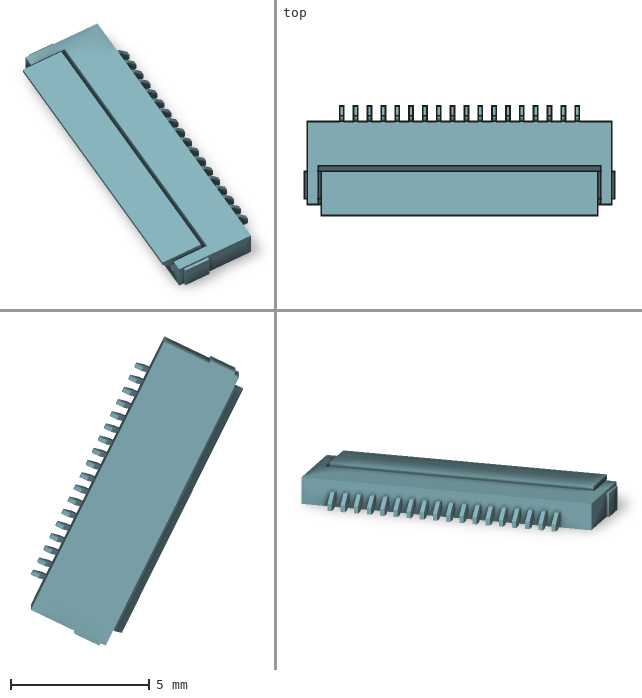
import cadquery as cq


OVERALL_LENGTH = 11.2
HOUSING_LENGTH = 11.0
HOUSING_DEPTH = 3.0
HOUSING_HEIGHT = 1.0

RECESS_LENGTH = 10.2
RECESS_DEPTH = 1.4
FLOOR_HEIGHT = 0.4

CONTACT_COUNT = 18
CONTACT_ROW_SPAN = 8.5
CONTACT_PITCH = CONTACT_ROW_SPAN / (CONTACT_COUNT - 1)
CONTACT_WIDTH = 0.16
CONTACT_REACH = 0.56
CONTACT_TOP = 0.6
CONTACT_SLOPE = 0.35
CONTACT_FOOT = 0.28
CONTACT_UNDERSIDE = CONTACT_REACH - CONTACT_FOOT

FLAP_LENGTH = 10.0
FLAP_OVERHANG = 0.4
FLAP_REAR = 1.2
FLAP_THICKNESS = 0.4
FLAP_RISE = 0.1
FLAP_CHAMFER = 0.26
FLAP_TOP = HOUSING_HEIGHT + FLAP_RISE

TAB_FRONT = 0.2
TAB_WIDTH = FLAP_REAR - TAB_FRONT
TAB_HEIGHT = 0.9
TAB_PLATE = (OVERALL_LENGTH - HOUSING_LENGTH) / 2
TAB_FOOT = (HOUSING_LENGTH - FLAP_LENGTH) / 2


def box(x_size, y_size, z_size, x_start, y_start, z_start):
    """Block given by its size and its lowest corner."""
    block = cq.Workplane("XY").box(x_size, y_size, z_size, centered=False)
    return block.translate((x_start, y_start, z_start))


def extrude_along_x(points, length, x_centre):
    """Prism of a (Y, Z) outline, centred on x_centre."""
    prism = cq.Workplane("YZ").polyline(points).close().extrude(length)
    return prism.translate((x_centre - length / 2, 0, 0))


def make_contact(x_centre):
    """Bent contact tail that drops from the rear of the housing to the board."""
    tip = HOUSING_DEPTH + CONTACT_REACH
    outline = [
        (HOUSING_DEPTH, CONTACT_TOP),
        (tip - CONTACT_SLOPE, CONTACT_TOP),
        (tip, CONTACT_TOP - CONTACT_SLOPE),
        (tip, 0),
        (tip - CONTACT_FOOT, 0),
        (HOUSING_DEPTH, CONTACT_UNDERSIDE),
    ]
    return extrude_along_x(outline, CONTACT_WIDTH, x_centre)


def make_tab(side):
    """L-shaped tab: a plate on the end face and a foot through it, flush with the recess floor.

    side is -1 for the -X end and 1 for the +X end.
    """
    plate = box(TAB_PLATE, TAB_WIDTH, TAB_HEIGHT, -OVERALL_LENGTH / 2, TAB_FRONT, 0)
    foot = box(TAB_FOOT, TAB_WIDTH, FLOOR_HEIGHT, -HOUSING_LENGTH / 2, TAB_FRONT, 0)
    tab = plate.union(foot)
    return tab if side < 0 else tab.mirror("YZ")


def make_housing(tabs):
    """Housing with the cable recess, the moulded-in contact row and an opening for each tab."""
    body = box(HOUSING_LENGTH, HOUSING_DEPTH, HOUSING_HEIGHT, -HOUSING_LENGTH / 2, 0, 0)
    recess_height = HOUSING_HEIGHT - FLOOR_HEIGHT
    body = body.cut(box(RECESS_LENGTH, RECESS_DEPTH, recess_height, -RECESS_LENGTH / 2, 0, FLOOR_HEIGHT))
    for index in range(CONTACT_COUNT):
        body = body.union(make_contact(index * CONTACT_PITCH - CONTACT_ROW_SPAN / 2))
    for tab in tabs:
        body = body.cut(tab)
    return body


def make_flap():
    """Flat flap over the recess, chamfered under its front edge."""
    bottom = FLAP_TOP - FLAP_THICKNESS
    outline = [
        (FLAP_REAR, bottom),
        (FLAP_REAR, FLAP_TOP),
        (-FLAP_OVERHANG, FLAP_TOP),
        (-FLAP_OVERHANG, bottom + FLAP_CHAMFER),
        (-FLAP_OVERHANG + FLAP_CHAMFER, bottom),
    ]
    return extrude_along_x(outline, FLAP_LENGTH, 0)


tabs = [make_tab(side) for side in (-1, 1)]
housing = make_housing(tabs)
flap = make_flap()

result = cq.Compound.makeCompound([body.solids().val() for body in (housing, flap, *tabs)])